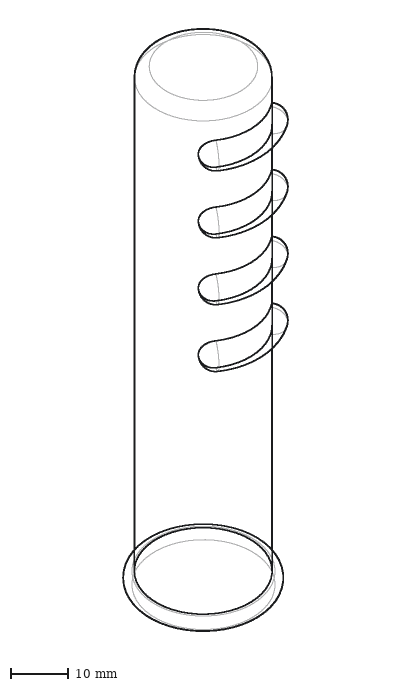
import cadquery as cq

total_height = 116.0
body_diameter = 24.0
top_fillet = 2.5
flange_diameter = 28.0
flange_thickness = 3.0
finger_diameter = 6.0
finger_count = 4
finger_pitch = 15.0
top_finger_drop = 10.1
finger_half_angle = 34.0

body_radius = body_diameter / 2
flange_edge_radius = flange_thickness / 2
flange_flat_radius = flange_diameter / 2 - flange_edge_radius
finger_radius = finger_diameter / 2


def make_body():
    """Cylindrical grip with a rounded top edge."""
    return cq.Workplane("XY").circle(body_radius).extrude(total_height).faces(">Z").edges().fillet(top_fillet)


def make_flange():
    """Bottom disc with a fully rounded rim."""
    return (
        cq.Workplane("XZ")
        .lineTo(flange_flat_radius, 0)
        .threePointArc(
            (flange_diameter / 2, flange_edge_radius),
            (flange_flat_radius, flange_thickness),
        )
        .lineTo(0, flange_thickness)
        .close()
        .revolve(360, (0, 0), (0, 1))
    )


def make_finger(height):
    """Round ridge following the body surface on the +X side, with spherical ends."""
    ridge = (
        cq.Workplane("XZ")
        .center(body_radius, height)
        .circle(finger_radius)
        .revolve(2 * finger_half_angle, (-body_radius, 0), (-body_radius, 1))
    )
    ridge = ridge.rotate((0, 0, 0), (0, 0, 1), -finger_half_angle)
    for side in (-1, 1):
        end_cap = (
            cq.Workplane("XY")
            .sphere(finger_radius, angle1=0)
            .rotate((0, 0, 0), (1, 0, 0), -side * 90)
            .translate((body_radius, 0, height))
            .rotate((0, 0, 0), (0, 0, 1), side * finger_half_angle)
        )
        ridge = ridge.union(end_cap)
    return ridge


result = make_body().union(make_flange())
for index in range(finger_count):
    finger_height = total_height - top_finger_drop - index * finger_pitch
    result = result.union(make_finger(finger_height))